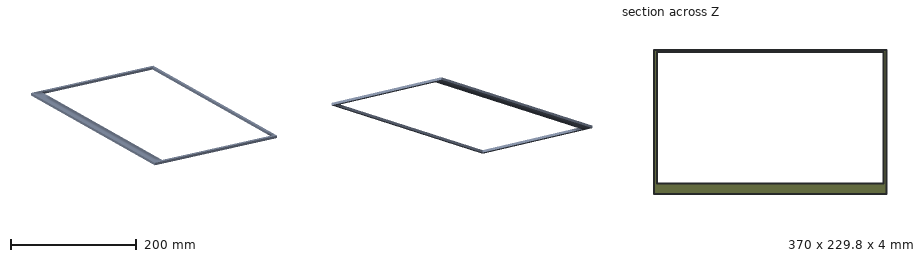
import cadquery as cq

width = 370.0
depth = 229.8
thickness = 4.0

side_border = 5.0
back_border = 4.5
front_border = 17.0

window_width = width - 2 * side_border
window_depth = depth - back_border - front_border
window_center_y = (front_border - back_border) / 2

plate = cq.Workplane("XY").box(width, depth, thickness)

window = (
    cq.Workplane("XY")
    .center(0, window_center_y)
    .box(window_width, window_depth, 2 * thickness)
)

result = plate.cut(window)